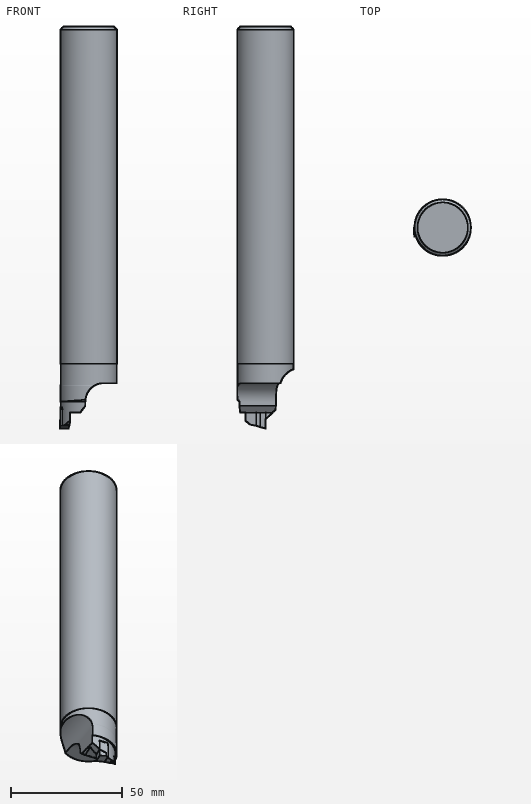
import cadquery as cq
import math

total_length = 180.0
shank_bottom = 29.0
neck_bottom = 19.6
collar_top = 19.0
head_top = 12.0
blade_top = 7.2

shank_radius = 25.4 / 2
neck_radius = 25.2 / 2
head_radius = 11.7
head_offset = -0.9
top_chamfer_width = 1.5
top_chamfer_height = 1.5

side_wall_x = -1.5
side_ceiling = 20.3
side_radius = 8.1
side_bevel_width = 2.3
side_bevel_height = 3.0

gullet_wall_y = 4.9
gullet_ceiling = 26.6
gullet_radius = 9.0
gullet_turn = 7.5

jaw_slope_top = 8.8
jaw_nose_height = 4.1

blade_inner_x = -9.0
blade_inner_slope = 0.08
blade_corner_y = -6.8
blade_corner_bottom = 1.8
blade_end_y = -9.0
blade_end_bottom = 3.6

insert_outer_x = -12.8
insert_inner_x = -8.8
insert_height = 4.1
insert_top = 9.5
insert_corner = 0.7
insert_heel_rise = 1.3
tip_overhang = 0.09
tip_top = 3.8
tip_depth = 3.0
tip_heel_top = 2.9

reach = 36.0


def cylinder(radius, bottom, top, x=0.0):
    return cq.Workplane("XY", origin=(x, 0, bottom)).circle(radius).extrude(top - bottom)


def cone(bottom_radius, bottom, top_radius, top, x=0.0):
    return cq.Workplane(
        cq.Solid.makeCone(bottom_radius, top_radius, top - bottom, cq.Vector(x, 0, bottom))
    )


def gullet_profile(plane, wall, ceiling, radius):
    """Profile of a cut beyond a vertical wall that curves outwards into a flat ceiling."""
    diagonal = radius * (1 - math.sqrt(0.5))
    return (
        cq.Workplane(plane)
        .moveTo(wall, -reach)
        .lineTo(wall, ceiling - radius)
        .threePointArc((wall + diagonal, ceiling - diagonal), (wall + radius, ceiling))
        .lineTo(reach, ceiling)
        .lineTo(reach, -reach)
        .close()
    )


def make_round_body():
    shank = (
        cylinder(shank_radius, shank_bottom, total_length)
        .faces(">Z")
        .chamfer(top_chamfer_height, top_chamfer_width)
    )
    neck = cylinder(neck_radius, neck_bottom, shank_bottom)
    neck_step = cone(shank_radius, collar_top, neck_radius, neck_bottom)
    bevel_cone = cone(head_radius, head_top, head_radius + collar_top - head_top, collar_top, head_offset)
    collar = cylinder(shank_radius, head_top, collar_top).intersect(bevel_cone)
    head = cylinder(head_radius, 0, head_top, head_offset)
    return shank.union(neck).union(neck_step).union(collar).union(head)


def make_side_relief():
    relief = gullet_profile("XZ", side_wall_x, side_ceiling, side_radius).extrude(reach, both=True)
    bevel = (
        cq.Workplane("XZ")
        .moveTo(side_wall_x - side_bevel_width, blade_top)
        .lineTo(side_wall_x, blade_top)
        .lineTo(side_wall_x, blade_top + side_bevel_height)
        .close()
        .extrude(reach, both=True)
    )
    return relief.union(bevel)


def make_gullet():
    return (
        gullet_profile("YZ", gullet_wall_y, gullet_ceiling, gullet_radius)
        .extrude(reach, both=True)
        .rotate((0, 0, 0), (0, 0, 1), gullet_turn)
    )


def make_jaw_slope():
    """Space under the upper jaw, which slopes down to its nose above the insert's rake face."""
    slope = (jaw_slope_top - jaw_nose_height) / gullet_wall_y
    return (
        cq.Workplane("YZ")
        .moveTo(0, -reach)
        .lineTo(0, jaw_nose_height)
        .lineTo(reach, jaw_nose_height + slope * reach)
        .lineTo(reach, -reach)
        .close()
        .extrude(reach, both=True)
    )


def make_blade_clearance():
    """Space around the thin blade: its inner side, its far end and its underside."""
    inner = (
        cq.Workplane("XY", origin=(0, 0, -reach))
        .polyline([
            (blade_inner_x + blade_inner_slope * reach, -reach),
            (reach, -reach),
            (reach, reach),
            (blade_inner_x - blade_inner_slope * reach, reach),
        ])
        .close()
        .extrude(reach + blade_top)
    )
    below = (
        cq.Workplane("YZ")
        .polyline([
            (0, 0),
            (-insert_height, insert_heel_rise),
            (blade_corner_y, blade_corner_bottom),
            (blade_end_y, blade_end_bottom),
            (blade_end_y, blade_top),
            (-reach, blade_top),
            (-reach, -reach),
            (0, -reach),
        ])
        .close()
        .extrude(reach, both=True)
    )
    return inner.union(below)


def insert_block(outer_x):
    """Insert between its rake face at Y = 0 and its seat, cut back at the front for clearance."""
    return (
        cq.Workplane("YZ", origin=(outer_x, 0, 0))
        .polyline([
            (0, 0),
            (0, insert_top),
            (insert_corner - insert_height, insert_top),
            (-insert_height, insert_top - insert_corner),
            (-insert_height, insert_heel_rise),
        ])
        .close()
        .extrude(insert_inner_x - outer_x)
    )


def make_insert():
    tip_heel_bottom = insert_heel_rise * tip_depth / insert_height
    tip = (
        cq.Workplane("YZ", origin=(insert_outer_x - tip_overhang, 0, 0))
        .polyline([(0, 0), (0, tip_top), (-tip_depth, tip_heel_top), (-tip_depth, tip_heel_bottom)])
        .close()
        .extrude(insert_inner_x - insert_outer_x + tip_overhang)
    )
    return insert_block(insert_outer_x).union(tip)


def make_holder():
    return (
        make_round_body()
        .cut(make_side_relief())
        .cut(make_gullet())
        .cut(make_jaw_slope())
        .cut(make_blade_clearance())
        .cut(insert_block(-reach))
    )


holder = make_holder()
insert = make_insert()
result = cq.Compound.makeCompound([holder.val(), insert.val()])